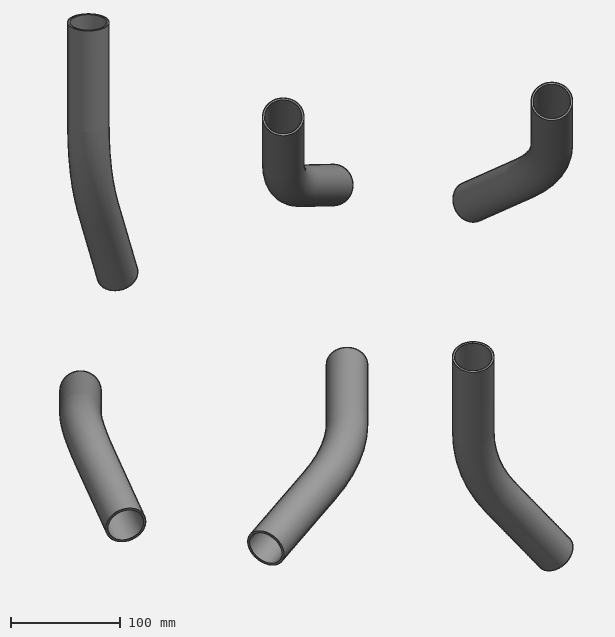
import cadquery as cq
import math

overall_height = 294.5
outer_diameter = 38.0
inner_diameter = 33.9
leg_length = 101.5
bend_angle = math.radians(30.0)

sin_bend = math.sin(bend_angle)
cos_bend = math.cos(bend_angle)

lower_leg_height = leg_length * cos_bend
end_face_drop = outer_diameter / 2 * sin_bend
bend_height = overall_height - leg_length - lower_leg_height - end_face_drop
bend_radius = bend_height / sin_bend


def bend_point(angle):
    """Centerline point (Y, Z) after turning through the given angle."""
    return (
        bend_radius * (1 - math.cos(angle)),
        -leg_length - bend_radius * math.sin(angle),
    )


bend_end = bend_point(bend_angle)
lower_end = (
    bend_end[0] + leg_length * sin_bend,
    bend_end[1] - lower_leg_height,
)
centerline = (
    cq.Workplane("YZ")
    .moveTo(0, 0)
    .lineTo(0, -leg_length)
    .threePointArc(bend_point(bend_angle / 2), bend_end)
    .lineTo(*lower_end)
)

result = (
    cq.Workplane("XY")
    .circle(outer_diameter / 2)
    .circle(inner_diameter / 2)
    .sweep(centerline)
)